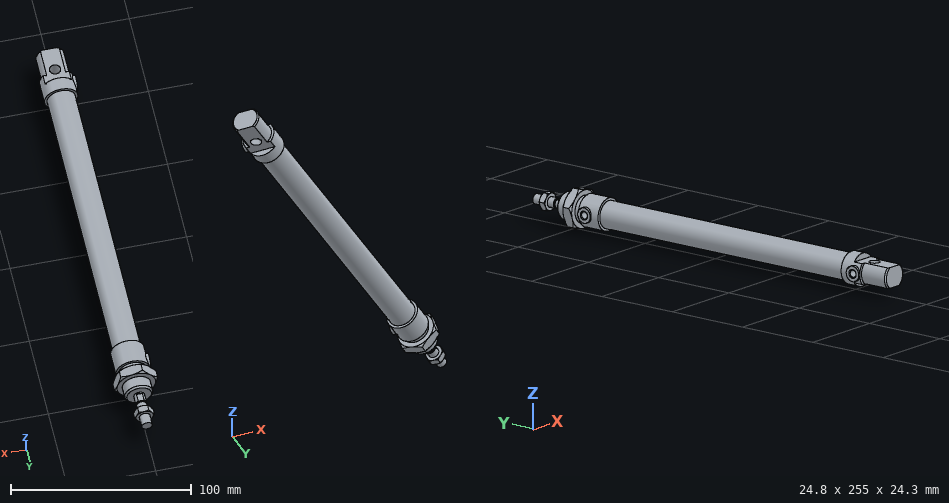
import cadquery as cq
import math

length = 255.0
tip_y = length / 2
tail_y = -length / 2

rod_diameter = 6.0
flats_width = 5.0
flats_length = 4.5
flats_gap = 0.8
neck_diameter = 5.0
neck_length = 0.8
rod_length = 21.0
nose_y = tip_y - rod_length

tube_diameter = 16.0
cap_diameter = 19.0
nose_chamfer = 1.0
nose_length = 16.8
front_cap_length = 14.0
front_cap_y = nose_y - nose_length
rear_cap_y = -97.2
rear_cap_length = 13.3
clevis_thickness = 12.0
clevis_shoulder_y = -104.8
clevis_chamfer = 0.8
clevis_hole_diameter = 6.0
clevis_hole_y = -113.2

port_boss_diameter = 9.0
port_boss_reach = 10.5
port_mouth_diameter = 5.0
port_bore_diameter = 4.0
port_depth = 5.0
front_port_setback = 0.3
port_boss_radius = port_boss_diameter / 2
front_port_y = front_cap_y - port_boss_radius - front_port_setback
rear_port_y = rear_cap_y - rear_cap_length + port_boss_radius

nut_chamfer_angle = 30.0
mount_nut_width = 22.0
mount_nut_thickness = 6.0
mount_nut_turn = 13.0
mount_nut_front_y = tip_y - 28.0
rod_nut_width = 10.0
rod_nut_thickness = 4.0
rod_nut_turn = 5.0
rod_nut_front_y = tip_y - 6.5


def cylinder_y(diameter, front_y, extent):
    """Cylinder on the Y axis, running from front_y toward -Y."""
    plane = cq.Workplane("XZ", origin=(0, front_y, 0))
    return plane.circle(diameter / 2).extrude(extent)


def make_hex_nut(width, thickness, bore, front_y, turn):
    """Hexagon nut on the Y axis with its corners chamfered on both faces."""
    corner_radius = width / math.sqrt(3)
    flat_radius = width / 2
    drop = (corner_radius - flat_radius) * math.tan(math.radians(nut_chamfer_angle))
    back_y = front_y - thickness
    nut = (
        cq.Workplane("XZ", origin=(0, front_y, 0))
        .polygon(6, 2 * corner_radius)
        .extrude(thickness)
        .rotate((0, 0, 0), (0, 1, 0), turn)
    )
    corner_cone = (
        cq.Workplane("XY")
        .moveTo(0, front_y)
        .lineTo(flat_radius, front_y)
        .lineTo(corner_radius, front_y - drop)
        .lineTo(corner_radius, back_y + drop)
        .lineTo(flat_radius, back_y)
        .lineTo(0, back_y)
        .close()
        .revolve(360, (0, 0, 0), (0, 1, 0))
    )
    return nut.intersect(corner_cone).cut(cylinder_y(bore, front_y, thickness))


def make_rod():
    rod = cylinder_y(rod_diameter, tip_y, rod_length)
    flats_end_y = nose_y + flats_gap + flats_length
    flat_cut = cq.Workplane("XY").box(rod_diameter, flats_length, rod_diameter)
    for side in (-1, 1):
        offset_z = side * (flats_width + rod_diameter) / 2
        rod = rod.cut(flat_cut.translate((0, flats_end_y - flats_length / 2, offset_z)))
    groove_y = flats_end_y + neck_length
    groove = cylinder_y(rod_diameter, groove_y, neck_length)
    groove = groove.cut(cylinder_y(neck_diameter, groove_y, neck_length))
    return rod.cut(groove)


def make_clevis_end():
    """Rear cap and tail, both cut by the same pair of flats."""
    tail = cylinder_y(tube_diameter, rear_cap_y, rear_cap_y - tail_y)
    tail = tail.faces("<Y").chamfer(clevis_chamfer)
    clevis = tail.union(cylinder_y(cap_diameter, rear_cap_y, rear_cap_length))
    flat_length = clevis_shoulder_y - tail_y
    flat_cut = cq.Workplane("XY").box(cap_diameter, flat_length, cap_diameter)
    for side in (-1, 1):
        offset_z = side * (clevis_thickness + cap_diameter) / 2
        clevis = clevis.cut(flat_cut.translate((0, tail_y + flat_length / 2, offset_z)))
    hole = (
        cq.Workplane("XY", origin=(0, clevis_hole_y, 0))
        .circle(clevis_hole_diameter / 2)
        .extrude(clevis_thickness, both=True)
    )
    return clevis.cut(hole)


def make_front_end():
    """Chamfered nose and the front cap behind it."""
    nose = cylinder_y(tube_diameter, nose_y, nose_length).faces(">Y").chamfer(nose_chamfer)
    cap = cylinder_y(cap_diameter, front_cap_y, front_cap_length)
    return nose.union(cap)


def add_port(body, port_y):
    """Round boss on the -X side with a countersunk blind bore."""
    face = cq.Workplane("YZ", origin=(-port_boss_reach, port_y, 0))
    boss = face.circle(port_boss_radius).extrude(port_boss_reach)
    bore = face.circle(port_bore_diameter / 2).extrude(port_depth)
    mouth_depth = (port_mouth_diameter - port_bore_diameter) / 2
    mouth = (
        face.circle(port_mouth_diameter / 2)
        .workplane(offset=mouth_depth)
        .circle(port_bore_diameter / 2)
        .loft()
    )
    return body.union(boss).cut(bore).cut(mouth)


def make_cylinder_body():
    tube = cylinder_y(tube_diameter, front_cap_y, front_cap_y - rear_cap_y)
    body = make_front_end().union(tube).union(make_clevis_end())
    for port_y in (front_port_y, rear_port_y):
        body = add_port(body, port_y)
    return body


cylinder_body = make_cylinder_body()
piston_rod = make_rod()
mount_nut = make_hex_nut(
    mount_nut_width, mount_nut_thickness, tube_diameter, mount_nut_front_y, mount_nut_turn
)
rod_nut = make_hex_nut(rod_nut_width, rod_nut_thickness, rod_diameter, rod_nut_front_y, rod_nut_turn)

result = cq.Compound.makeCompound(
    [cylinder_body.val(), piston_rod.val(), mount_nut.val(), rod_nut.val()]
)